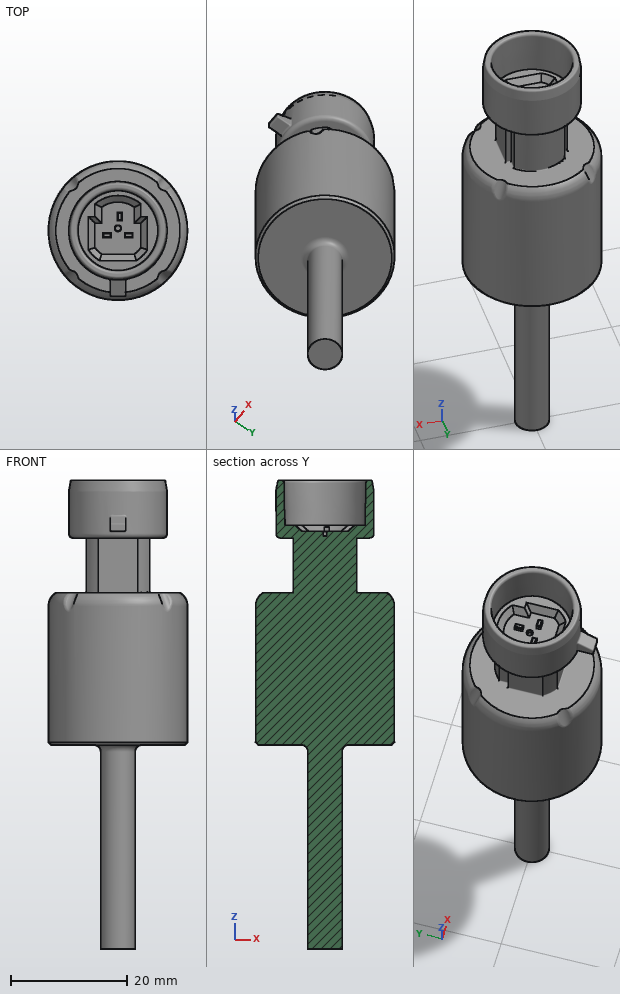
import cadquery as cq
import math

total_height = 80.7

stem_radius = 3.0
stem_root_fillet = 1.1

body_radius = 24.0 / 2
body_bottom = 35.1
body_top = 61.3
body_chamfer = 0.5
shoulder_height = 2.25
shoulder_inset = 1.3

groove_count = 4
first_groove_angle = 45
groove_radius = 1.4
groove_top_reach = 10.25
groove_drop = 3.15
groove_edge_fillet = 0.6

neck_half_width = 5.5
neck_front = 5.5
neck_shoulder = 2.75
neck_back_half_width = 4.5
neck_radius = 6.45
neck_root_fillet = 0.2

cap_radius = 16.95 / 2
cap_bottom = 70.7
cap_bottom_fillet = 0.8
cap_taper_height = 1.9
cap_rim_radius = 8.15
cap_rim_fillet = 0.3
cap_shoulder_fillet = 0.3

bore_mouth_radius = 7.0
bore_floor_radius = 6.85
bore_floor = 72.9
bore_mouth_fillet = 0.5

socket_half_width = 5.1
socket_front = 5.2
socket_shoulder = 2.4
socket_back_half_width = 3.95
socket_radius = 6.05
socket_floor = 71.9
socket_taper_inset = 1.1

pin_long = 1.45
pin_short = 0.8
pin_height = 0.8
pin_tip_chamfer = 0.2
pin_side_x = 1.85
pin_side_y = -0.8
pin_back_x = 0.3
pin_back_y = 2.4
vent_radius = 0.5
vent_y = 0.4
vent_depth = 0.8
vent_chamfer = 0.1

latch_width = 2.7
latch_tip = 11.3
latch_bottom = 71.9
latch_tip_height = 1.3
latch_root_height = 3.0
latch_embed = 0.8
latch_edge_fillet = 0.25
latch_root_fillet = 0.3


def keyed_outline(z, half_width, front, shoulder, back_half_width, radius):
    """Rectangle with a narrower rear part, whose back and front corners lie on one circle."""
    side_y = -math.sqrt(radius**2 - half_width**2)
    front_x = math.sqrt(radius**2 - front**2)
    back_y = math.sqrt(radius**2 - back_half_width**2)
    return (
        cq.Workplane("XY", origin=(0, 0, z))
        .moveTo(front_x, -front)
        .radiusArc((half_width, side_y), -radius)
        .lineTo(half_width, shoulder)
        .lineTo(back_half_width, shoulder)
        .lineTo(back_half_width, back_y)
        .radiusArc((-back_half_width, back_y), -radius)
        .lineTo(-back_half_width, shoulder)
        .lineTo(-half_width, shoulder)
        .lineTo(-half_width, side_y)
        .radiusArc((-front_x, -front), -radius)
        .close()
    )


def make_body():
    """Cylinder with a rounded shoulder and a chamfered lower edge."""
    shoulder_radius = (shoulder_height**2 + shoulder_inset**2) / (2 * shoulder_inset)
    profile = (
        cq.Workplane("XZ")
        .moveTo(0, body_bottom)
        .lineTo(body_radius - body_chamfer, body_bottom)
        .lineTo(body_radius, body_bottom + body_chamfer)
        .lineTo(body_radius, body_top - shoulder_height)
        .radiusArc((body_radius - shoulder_inset, body_top), -shoulder_radius)
        .lineTo(0, body_top)
        .close()
    )
    body = profile.revolve(360, (0, 0), (0, 1))
    for index in range(groove_count):
        body = body.cut(make_groove(first_groove_angle + index * 360 / groove_count))
    groove_edges = body.edges("%BSPLINE")
    return groove_edges.fillet(groove_edge_fillet)


def make_groove(angle):
    """Round-bottomed cutter sloping down and outwards across the shoulder."""
    run = body_radius - groove_top_reach
    length = math.hypot(run, groove_drop)
    slope = cq.Vector(run / length, 0, -groove_drop / length)
    outward = cq.Vector(groove_drop / length, 0, run / length)
    floor_point = cq.Vector(groove_top_reach, 0, body_top)
    start = floor_point + outward * groove_radius - slope * length
    cutter = cq.Solid.makeCylinder(groove_radius, 3 * length, start, slope)
    return cq.Workplane(cutter).rotate((0, 0, 0), (0, 0, 1), angle)


def make_stem():
    """Probe stem with a concave fillet where it meets the body."""
    profile = (
        cq.Workplane("XZ")
        .lineTo(stem_radius, 0)
        .lineTo(stem_radius, body_bottom - stem_root_fillet)
        .radiusArc((stem_radius + stem_root_fillet, body_bottom), stem_root_fillet)
        .lineTo(stem_radius + stem_root_fillet, body_bottom + body_chamfer)
        .lineTo(0, body_bottom + body_chamfer)
        .close()
    )
    return profile.revolve(360, (0, 0), (0, 1))


def make_neck():
    """Keyed column joining the body to the cap, with rounded front corners."""
    outline = keyed_outline(
        body_top, neck_half_width, neck_front, neck_shoulder, neck_back_half_width, neck_radius
    )
    return outline.extrude(cap_bottom - body_top)


def make_cap():
    """Round cap with a tapered rim and a flat-floored bore, its edges rounded."""
    taper_start = total_height - cap_taper_height
    profile = (
        cq.Workplane("XZ")
        .moveTo(0, cap_bottom)
        .lineTo(cap_radius, cap_bottom)
        .lineTo(cap_radius, taper_start)
        .lineTo(cap_rim_radius, total_height)
        .lineTo(0, total_height)
        .close()
    )
    cap = profile.revolve(360, (0, 0), (0, 1))
    cap = cap.faces("<Z").edges().fillet(cap_bottom_fillet)
    cap = cap.edges(cq.selectors.RadiusNthSelector(-1)).edges(">Z").fillet(cap_shoulder_fillet)
    cap = cap.faces(">Z").edges().fillet(cap_rim_fillet)
    bore_profile = (
        cq.Workplane("XZ")
        .moveTo(0, bore_floor)
        .lineTo(bore_floor_radius, bore_floor)
        .lineTo(bore_mouth_radius, total_height)
        .lineTo(0, total_height)
        .close()
    )
    cap = cap.cut(bore_profile.revolve(360, (0, 0), (0, 1)))
    bore_mouth = cap.faces(">Z").edges("%CIRCLE").edges(cq.selectors.RadiusNthSelector(0))
    return bore_mouth.fillet(bore_mouth_fillet)


def make_latch():
    """Round-edged wedge on the front of the cap, sloping down to its tip."""
    root_y = latch_embed - cap_radius
    wedge = (
        cq.Workplane("YZ", origin=(-latch_width / 2, 0, 0))
        .moveTo(root_y, latch_bottom)
        .lineTo(-latch_tip, latch_bottom)
        .lineTo(-latch_tip, latch_bottom + latch_tip_height)
        .lineTo(root_y, latch_bottom + latch_root_height)
        .close()
        .extrude(latch_width)
    )
    return wedge.edges("not >Y").fillet(latch_edge_fillet)


def make_socket():
    """Keyed cutter that narrows towards its floor."""
    inset = socket_taper_inset
    top = keyed_outline(
        bore_floor, socket_half_width, socket_front, socket_shoulder,
        socket_back_half_width, socket_radius,
    )
    bottom = keyed_outline(
        socket_floor, socket_half_width - inset, socket_front - inset, socket_shoulder - inset,
        socket_back_half_width - inset, socket_radius - inset,
    )
    return cq.Workplane(cq.Solid.makeLoft([bottom.val(), top.val()], True))


def make_pin(x, y, width, depth):
    """Flat contact blade standing on the socket floor."""
    pin = cq.Workplane("XY", origin=(x, y, socket_floor)).rect(width, depth).extrude(pin_height)
    return pin.faces(">Z").chamfer(pin_tip_chamfer)


def make_vent():
    """Small chamfered hole cutter for the socket floor."""
    mouth_radius = vent_radius + vent_chamfer
    profile = (
        cq.Workplane("XZ", origin=(0, vent_y, socket_floor))
        .lineTo(mouth_radius, 0)
        .lineTo(vent_radius, -vent_chamfer)
        .lineTo(vent_radius, -vent_depth)
        .lineTo(0, -vent_depth)
        .close()
    )
    return profile.revolve(360, (0, 0), (0, 1))


def make_base():
    """Stem, body and neck, with a small fillet around the foot of the neck."""
    base = make_stem().union(make_body()).union(make_neck())
    reach = neck_radius + neck_root_fillet
    neck_root_edges = base.edges(cq.selectors.BoxSelector(
        (-reach, -reach, body_top - neck_root_fillet),
        (reach, reach, body_top + neck_root_fillet),
    ))
    return neck_root_edges.fillet(neck_root_fillet)


def make_connector():
    """Cap with its latch, blended where they meet."""
    connector = make_cap().union(make_latch())
    reach = latch_root_fillet
    latch_root_edges = connector.edges(cq.selectors.BoxSelector(
        (-latch_width, -cap_radius - reach, latch_bottom - reach),
        (latch_width, -cap_radius + reach, latch_bottom + latch_root_height + reach),
    ))
    return latch_root_edges.fillet(latch_root_fillet)


result = make_base().union(make_connector()).cut(make_socket()).cut(make_vent())

for pin_x in (-pin_side_x, pin_side_x):
    result = result.union(make_pin(pin_x, pin_side_y, pin_long, pin_short))
result = result.union(make_pin(pin_back_x, pin_back_y, pin_short, pin_long))